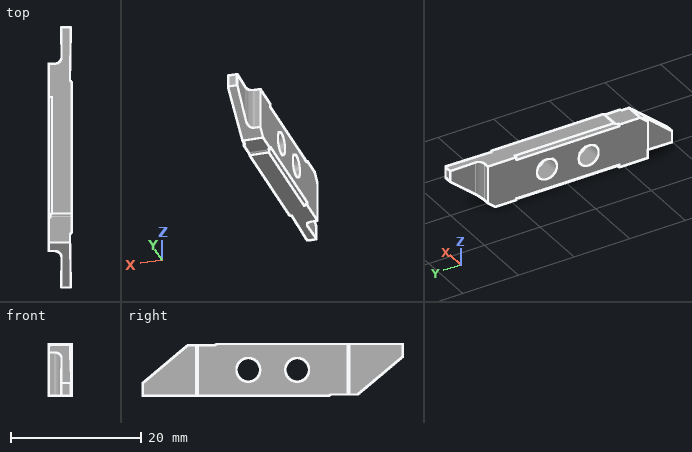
import cadquery as cq
import math

thickness = 3.6
length = 40.0
height = 8.0

tip_height = 1.95
nose_slope = 40.0
nose_drop = 0.2
step_start = 8.6
step_length = 0.45

web_length = 5.6
web_fillet = 1.0
web_left_tip = 1.91
web_right_tip = 0.15
web_taper = 1.0
relief_length = 8.2
tip_corner = 0.1

edge_chamfer = 0.5
edge_chamfer_length = 18.5

hole_diameter = 3.6
hole_spacing = 7.5

half_x = thickness / 2
half_y = length / 2
half_z = height / 2


def side_blank():
    """Plate with two opposed sloping noses, extruded across the thickness."""
    nose_z = half_z - nose_drop
    nose_rise = nose_z + half_z - tip_height
    nose_run = nose_rise / math.tan(math.radians(nose_slope))
    step_end = step_start + step_length
    blank = cq.Workplane("YZ", origin=(-half_x, 0, 0)).moveTo(-half_y, -half_z)
    for turn in (-1, 1):
        blank = (
            blank.lineTo(turn * half_y, turn * (half_z - tip_height))
            .lineTo(turn * (half_y - nose_run), -turn * nose_z)
            .lineTo(turn * step_end, -turn * nose_z)
            .tangentArcPoint((turn * step_start, -turn * half_z), relative=False)
            .lineTo(-turn * half_y, -turn * half_z)
        )
    return blank.close().extrude(thickness)


def plan_prism():
    """Plan outline as a prism: thick body and a thin tapering web at each end."""
    left_tip = -half_x + web_left_tip
    right_tip = half_x - web_right_tip
    shoulder_y = half_y - web_length
    fillet_y = shoulder_y + web_fillet
    relief_y = half_y - relief_length
    taper_rate = math.tan(math.radians(web_taper))
    left_root = left_tip + taper_rate * (half_y - fillet_y)
    right_root = right_tip - taper_rate * relief_length
    body_y = relief_y - (half_x - right_root)
    arc_inset = web_fillet * (1 - math.sqrt(0.5))
    half = (
        cq.Workplane("XY", origin=(0, 0, -half_z))
        .moveTo(-half_x, 0)
        .lineTo(-half_x, shoulder_y)
        .lineTo(left_root - web_fillet, shoulder_y)
        .threePointArc(
            (left_root - arc_inset, shoulder_y + arc_inset),
            (left_root, fillet_y),
        )
        .lineTo(left_tip, half_y - tip_corner)
        .lineTo(left_tip + tip_corner, half_y)
        .lineTo(right_tip - tip_corner, half_y)
        .lineTo(right_tip, half_y - tip_corner)
        .lineTo(right_root, relief_y)
        .lineTo(half_x, body_y)
        .lineTo(half_x, 0)
        .close()
        .extrude(height)
    )
    return half.union(half.mirror("XZ")).clean()


def edge_chamfer_cutter(side):
    """Wedge for the -X long edge at the top (side = 1) or the bottom (side = -1)."""
    return (
        cq.Workplane("XZ")
        .polyline([
            (-half_x, side * half_z),
            (-half_x + edge_chamfer, side * half_z),
            (-half_x, side * (half_z - edge_chamfer)),
        ])
        .close()
        .extrude(edge_chamfer_length / 2, both=True)
    )


def hole_cutters():
    """Two holes straight through the thickness."""
    return (
        cq.Workplane("YZ", origin=(-half_x, 0, 0))
        .pushPoints([(-hole_spacing / 2, 0), (hole_spacing / 2, 0)])
        .circle(hole_diameter / 2)
        .extrude(thickness)
    )


body = side_blank().intersect(plan_prism())
for side in (1, -1):
    body = body.cut(edge_chamfer_cutter(side))
result = body.cut(hole_cutters())